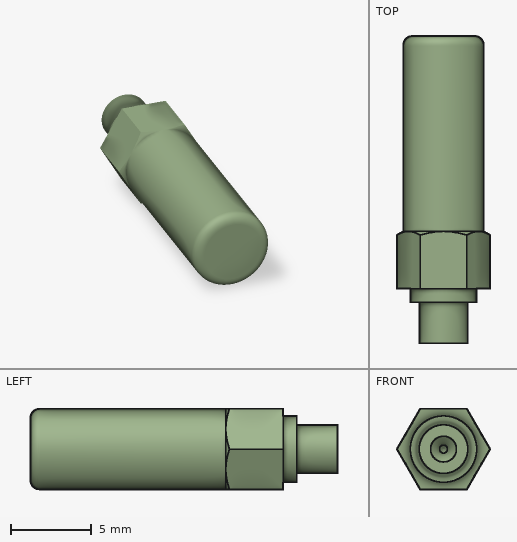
import cadquery as cq
import math

total_length = 19.04

nose_diameter = 3.0
nose_length = 2.53
collar_diameter = 4.11
collar_length = 0.85

hex_across_flats = 5.0
hex_across_corners = hex_across_flats / math.cos(math.radians(30))
hex_length = 3.55
hex_chamfer_angle = 30.0

body_diameter = hex_across_flats
body_end_radius = 0.59

bore_mouth_diameter = 1.6
bore_throat_diameter = 0.5
bore_taper_depth = 0.8
bore_tip_angle = 30.0

nose_start = -total_length / 2
collar_start = nose_start + nose_length
hex_start = collar_start + collar_length
body_start = hex_start + hex_length
body_end = total_length / 2


def prism_plane(y):
    """Plane at y that extrudes toward +Y, with its local X along the part's X."""
    return cq.Workplane(cq.Plane(origin=(0, y, 0), xDir=(1, 0, 0), normal=(0, 1, 0)))


def revolve_about_y(points):
    """Solid of revolution from a closed (radius, y) profile."""
    return cq.Workplane("XY").polyline(points).close().revolve(360, (0, 0, 0), (0, 1, 0))


def cylinder(diameter, start, end):
    """Round section along Y between two places."""
    return prism_plane(start).circle(diameter / 2).extrude(end - start)


def make_body():
    """Round body with a rounded far end."""
    body = cylinder(body_diameter, body_start, body_end)
    return body.faces(">Y").edges().fillet(body_end_radius)


def make_hexagon():
    """Hexagonal prism whose corners are chamfered by a cone on the body side."""
    prism = prism_plane(hex_start).polygon(6, hex_across_corners).extrude(hex_length)
    cone_inner_radius = body_diameter / 2
    cone_outer_radius = hex_across_corners
    cone_drop = (cone_outer_radius - cone_inner_radius) * math.tan(math.radians(hex_chamfer_angle))
    envelope = revolve_about_y([
        (0, hex_start),
        (cone_outer_radius, hex_start),
        (cone_outer_radius, body_start - cone_drop),
        (cone_inner_radius, body_start),
        (0, body_start),
    ])
    return prism.intersect(envelope)


def make_bore():
    """Tapered mouth that narrows to a throat and ends in a shallow conical tip."""
    throat_y = nose_start + bore_taper_depth
    throat_radius = bore_throat_diameter / 2
    tip_y = throat_y + throat_radius * math.tan(math.radians(bore_tip_angle))
    return revolve_about_y([
        (0, nose_start),
        (bore_mouth_diameter / 2, nose_start),
        (throat_radius, throat_y),
        (0, tip_y),
    ])


nose = cylinder(nose_diameter, nose_start, collar_start)
collar = cylinder(collar_diameter, collar_start, hex_start)
result = make_body().union(make_hexagon()).union(collar).union(nose).cut(make_bore())